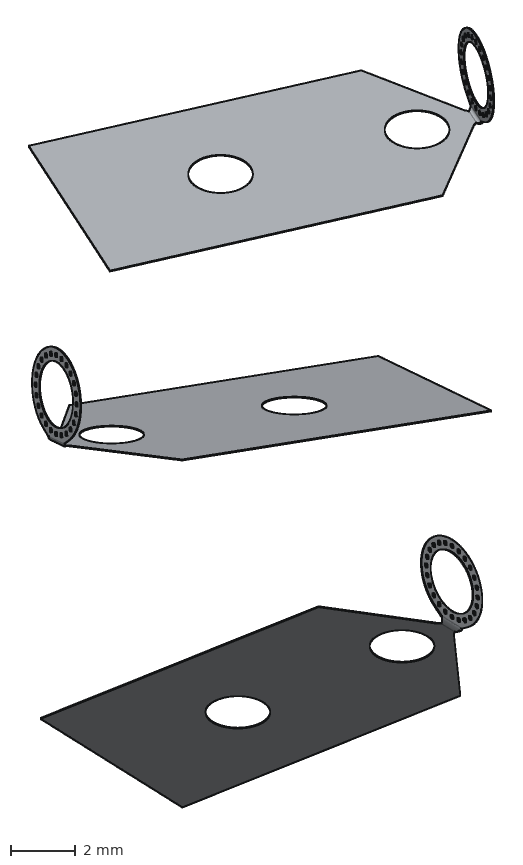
import cadquery as cq
import math

thickness = 0.04
length = 13.49
width = 7.0
height = 3.1
bend_radius = 0.15

shoulder_y = -2.48
neck_corner_y = -0.25
neck_corner_half_width = 0.4
plate_hole_diameter = 2.0
first_hole_y = -1.98
hole_spacing = 6.5

neck_half_width_at_ring = 0.5
neck_half_width_at_plate = 0.32

ring_radius = 1.5
ring_bore_radius = 1.05
hole_circle_radius = 1.27
ring_hole_diameter = 0.15
ring_hole_count = 24
ring_center_z = height - ring_radius


def mirrored_outline(workplane, right_side):
    """Close an outline given by its +X points, listed from one end to the other."""
    left_side = [(-x, y) for x, y in reversed(right_side)]
    return workplane.polyline(right_side + left_side).close()


def upright_plane():
    """Sketch plane on the ring's front face, extruding toward +Y."""
    return cq.Workplane("XZ", origin=(0, -thickness, 0))


def make_plate():
    outline = [
        (width / 2, -length),
        (width / 2, shoulder_y),
        (neck_corner_half_width, neck_corner_y),
        (neck_half_width_at_plate, -bend_radius),
    ]
    plate = mirrored_outline(cq.Workplane("XY"), outline).extrude(thickness)
    hole_centers = [(0, first_hole_y), (0, first_hole_y - hole_spacing)]
    holes = cq.Workplane("XY").pushPoints(hole_centers).circle(plate_hole_diameter / 2).extrude(thickness)
    return plate.cut(holes)


def make_bend():
    inner_radius = bend_radius - thickness
    diagonal = math.sqrt(0.5)
    outer_middle = bend_radius * (1 - diagonal)
    inner_middle = bend_radius - inner_radius * diagonal
    quarter_tube = (
        cq.Workplane("YZ")
        .moveTo(-bend_radius, 0)
        .threePointArc((-outer_middle, outer_middle), (0, bend_radius))
        .lineTo(-thickness, bend_radius)
        .threePointArc((-inner_middle, inner_middle), (-bend_radius, thickness))
        .close()
        .extrude(neck_half_width_at_ring, both=True)
    )
    taper_outline = [(neck_half_width_at_plate, -bend_radius), (neck_half_width_at_ring, 0)]
    taper = mirrored_outline(cq.Workplane("XY"), taper_outline).extrude(bend_radius)
    return quarter_tube.intersect(taper)


def make_ring():
    drop = ring_center_z - bend_radius
    corner_distance = math.hypot(neck_half_width_at_ring, drop)
    corner_angle = math.atan2(-drop, neck_half_width_at_ring)
    tangent_angle = corner_angle + math.acos(ring_radius / corner_distance)
    tangent_x = ring_radius * math.cos(tangent_angle)
    tangent_z = ring_center_z + ring_radius * math.sin(tangent_angle)

    disc = upright_plane().center(0, ring_center_z).circle(ring_radius).extrude(-thickness)
    below_bend_line = (
        upright_plane()
        .center(0, bend_radius / 2)
        .rect(2 * ring_radius, bend_radius)
        .extrude(-thickness)
    )
    neck_outline = [(neck_half_width_at_ring, bend_radius), (tangent_x, tangent_z)]
    neck = mirrored_outline(upright_plane(), neck_outline).extrude(-thickness)
    bore = upright_plane().center(0, ring_center_z).circle(ring_bore_radius).extrude(-thickness)
    small_holes = (
        upright_plane()
        .center(0, ring_center_z)
        .polarArray(hole_circle_radius, 0, 360, ring_hole_count)
        .circle(ring_hole_diameter / 2)
        .extrude(-thickness)
    )
    return disc.cut(below_bend_line).union(neck).cut(bore).cut(small_holes)


result = make_plate().union(make_bend()).union(make_ring())